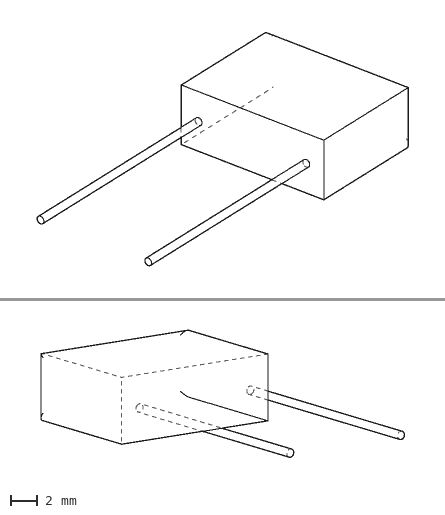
import cadquery as cq

total_length = 29.5

case_width = 13.5
case_length = 10.5
case_height = 5.1
back_edge_radius = 0.5

lead_diameter = 0.65
lead_pitch = 10.2
lead_length = total_length - case_length


def make_case():
    """Box from the lead face at Y = 0 to the back face, with the four edges of the back face rounded."""
    box = cq.Workplane("XY").box(case_width, case_length, case_height, centered=(True, False, True))
    return box.faces(">Y").edges().fillet(back_edge_radius)


def make_lead(x):
    """Straight round wire running in -Y from the centre height of the lead face."""
    return cq.Workplane("XZ").center(x, 0).circle(lead_diameter / 2).extrude(lead_length)


case = make_case()
leads = [make_lead(side * lead_pitch / 2) for side in (-1, 1)]

result = cq.Compound.makeCompound([case.val(), *[lead.val() for lead in leads]])